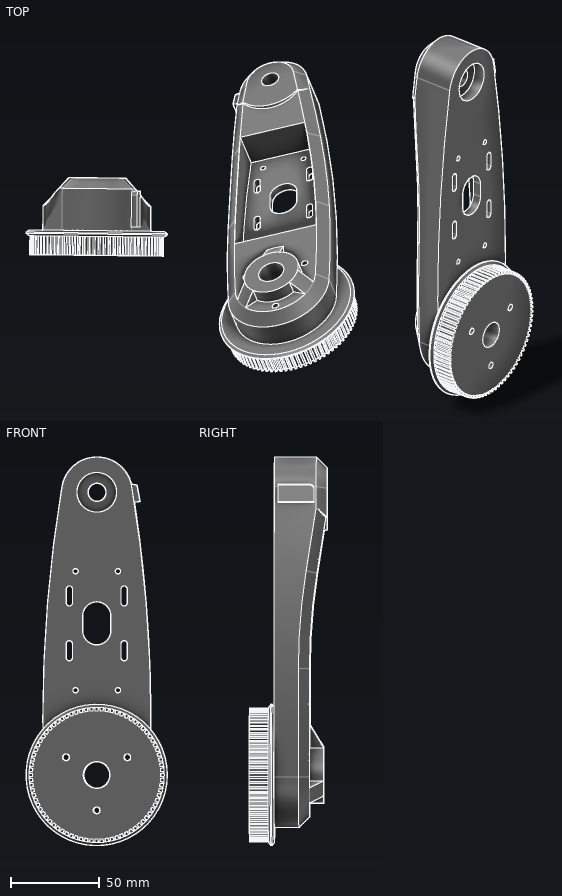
import cadquery as cq
import math


axis_spacing = 160.0
top_radius = 20.0
base_radius = 30.0
side_radius = 800.0

base_thickness = 20.0
hub_thickness = 30.0
edge_chamfer = 6.2
flat_end_z = 60.0
curve_end_z = 114.5
slope_end_z = 150.0
hub_back_radius = 21.3
hub_draft = 14

pocket_bottom_z = 40.0
pocket_top_z = 122.0
pocket_wall = 6.4
plate_thickness = 5.0
motor_z = 85.8
window_width = 15.8
window_height = 24.2
slot_width = 3.5
slot_length = 11.2
slot_spacing = 31.0
pilot_diameter = 2.9
pilot_spacing_x = 24.0
pilot_spacing_z = 67.3
pilot_center_z = 81.6

bearing_diameter = 22.5
bearing_depth = 7.0
axle_diameter = 10.1

boss_radius = 16.0
boss_height = 8.0
rib_width = 10.0
upper_rib_reach = 28.8
lower_rib_reach = base_radius - edge_chamfer

pulley_thickness = 14.0
tooth_count = 80
tip_radius = 37.8
groove_depth = 1.5
groove_width = 2.0
groove_floor_width = 1.5
flange_radius = 40.0
flange_thickness = 3.3
flange_bevel = 1.3
flange_edge_radius = 38.3

bore_diameter = 15.0
screw_diameter = 3.7
screw_circle_radius = 20.0
screw_angles = [30, 150, 270]

block_front_y = 2.2
block_back_y = 22.7
block_inner_x = 18.7
block_top_z = 164.8
block_bottom_z = 154
block_upper_x = 22.7
block_lower_x = 24.5
block_edge_drop = 0.7
block_round = 2.6

assembly_turn = -0.65


def front_plane(y=0.0):
    """Sketch plane facing -Y at the given depth; a negative extrusion goes towards +Y."""
    return cq.Workplane("XZ", origin=(0, y, 0))


def arm_outline(thickness, inset=0.0):
    """Arm outline, shrunk evenly by `inset`, extruded back from the front face."""
    to_top = side_radius - top_radius
    to_base = side_radius - base_radius
    bulge_z = (axis_spacing**2 + to_base**2 - to_top**2) / (2 * axis_spacing)
    center_x = math.sqrt(to_base**2 - bulge_z**2)
    r_top = top_radius - inset
    r_base = base_radius - inset
    top_x = r_top * center_x / to_top
    top_z = axis_spacing + r_top * (axis_spacing - bulge_z) / to_top
    base_x = r_base * center_x / to_base
    base_z = -r_base * bulge_z / to_base
    bulge_x = side_radius - inset - center_x
    return (
        front_plane()
        .moveTo(base_x, base_z)
        .threePointArc((bulge_x, bulge_z), (top_x, top_z))
        .threePointArc((0, axis_spacing + r_top), (-top_x, top_z))
        .threePointArc((-bulge_x, bulge_z), (-base_x, base_z))
        .threePointArc((0, -r_base), (base_x, base_z))
        .close()
        .extrude(-thickness)
    )


def side_profile():
    """Slab with the arm's back profile: flat, then a curve, then a slope up to the hub."""
    curve_middle_z = (flat_end_z + curve_end_z) / 2
    rise = hub_thickness - base_thickness
    slope_angle = math.atan2(rise, slope_end_z - curve_middle_z)
    tangent_length = curve_middle_z - flat_end_z
    curve_end = (
        base_thickness + tangent_length * math.sin(slope_angle),
        curve_middle_z + tangent_length * math.cos(slope_angle),
    )
    past_top = axis_spacing + 2 * top_radius
    slope_at_top = base_thickness + (past_top - curve_middle_z) * math.tan(slope_angle)
    half_width = 2 * base_radius
    return (
        cq.Workplane("YZ", origin=(-half_width, 0, 0))
        .moveTo(0, -half_width)
        .lineTo(base_thickness, -half_width)
        .lineTo(base_thickness, flat_end_z)
        .tangentArcPoint(curve_end, relative=False)
        .lineTo(slope_at_top, past_top)
        .lineTo(0, past_top)
        .close()
        .extrude(2 * half_width)
    )


def full_thickness_arm():
    """Arm outline at the hub's thickness with its back edge chamfered."""
    return arm_outline(hub_thickness).faces(">Y").chamfer(edge_chamfer)


def arm_hub():
    """Full-thickness hub round the top axis, with a drafted lower edge."""
    front_radius = hub_back_radius + hub_thickness * math.tan(math.radians(hub_draft))
    hub_zone = cq.Workplane(
        cq.Solid.makeCone(
            front_radius, hub_back_radius, hub_thickness, cq.Vector(0, 0, axis_spacing), cq.Vector(0, 1, 0)
        )
    )
    return full_thickness_arm().intersect(hub_zone)


def rear_boss():
    """Boss round the lower axis with three ribs that slope down to the arm's back."""
    back = cq.Vector(0, base_thickness, 0)
    backwards = cq.Vector(0, 1, 0)
    boss = front_plane(base_thickness).circle(boss_radius).extrude(-boss_height)
    for angle, reach in [(90, upper_rib_reach), (210, lower_rib_reach), (330, lower_rib_reach)]:
        cone = cq.Workplane(cq.Solid.makeCone(reach, boss_radius, boss_height, back, backwards))
        rib = (
            front_plane(base_thickness)
            .center(reach / 2, 0)
            .rect(reach, rib_width)
            .extrude(-boss_height)
            .rotate((0, 0, 0), (0, 1, 0), -angle)
        )
        boss = boss.union(rib.intersect(cone))
    return boss


def motor_pocket():
    """Pocket open to the back that leaves a front plate and side walls."""
    depth = hub_thickness - plate_thickness
    height = pocket_top_z - pocket_bottom_z
    zone = (
        front_plane(plate_thickness)
        .center(0, pocket_bottom_z + height / 2)
        .rect(4 * base_radius, height)
        .extrude(-depth)
    )
    return arm_outline(hub_thickness, pocket_wall).intersect(zone)


def motor_openings():
    """Window, adjusting slots and pilot holes through the front plate."""
    window = (
        front_plane().center(0, motor_z).slot2D(window_height, window_width, 90).extrude(-hub_thickness)
    )
    slots = (
        front_plane()
        .center(0, motor_z)
        .rect(slot_spacing, slot_spacing, forConstruction=True)
        .vertices()
        .slot2D(slot_length, slot_width, 90)
        .extrude(-hub_thickness)
    )
    pilots = (
        front_plane()
        .center(0, pilot_center_z)
        .rect(pilot_spacing_x, pilot_spacing_z, forConstruction=True)
        .vertices()
        .circle(pilot_diameter / 2)
        .extrude(-hub_thickness)
    )
    return window.union(slots).union(pilots)


def top_bearing_seat():
    """Bearing seat in the front face with an axle hole through the hub."""
    top_axis = front_plane().center(0, axis_spacing)
    seat = top_axis.circle(bearing_diameter / 2).extrude(-bearing_depth)
    axle = top_axis.circle(axle_diameter / 2).extrude(-hub_thickness)
    return seat.union(axle)


def lower_axis_holes():
    """Bore and screw holes that run through both the pulley and the arm."""
    length = pulley_thickness + base_thickness + boss_height
    start = front_plane(-pulley_thickness)
    points = [
        (screw_circle_radius * math.cos(math.radians(a)), screw_circle_radius * math.sin(math.radians(a)))
        for a in screw_angles
    ]
    bore = start.circle(bore_diameter / 2).extrude(-length)
    screws = start.pushPoints(points).circle(screw_diameter / 2).extrude(-length)
    return bore.union(screws)


def make_arm():
    """Arm with a sloped, chamfered back, a full-thickness hub, a boss and all its openings."""
    sloped_back = arm_outline(2 * hub_thickness).intersect(side_profile())
    back_face = sloped_back.faces(cq.selectors.NearestToPointSelector((0, base_thickness, 0)))
    body = back_face.chamfer(edge_chamfer)
    body = body.intersect(full_thickness_arm())
    body = body.union(arm_hub()).cut(motor_pocket()).union(rear_boss())
    return body.cut(motor_openings()).cut(top_bearing_seat()).cut(lower_axis_holes())


def polar(radius, angle):
    return (radius * math.cos(angle), radius * math.sin(angle))


def make_pulley():
    """Toothed pulley with one bevelled flange against the arm."""
    pitch = 2 * math.pi / tooth_count
    half_groove = groove_width / tip_radius / 2
    root_radius = tip_radius - groove_depth
    half_floor = groove_floor_width / root_radius / 2
    first = math.pi / 2
    outline = front_plane().moveTo(*polar(tip_radius, first - half_groove))
    for tooth in range(tooth_count):
        groove = first + tooth * pitch
        groove_end = groove + half_groove
        next_groove = groove + pitch - half_groove
        outline = outline.lineTo(*polar(root_radius, groove - half_floor))
        outline = outline.lineTo(*polar(root_radius, groove + half_floor))
        outline = outline.lineTo(*polar(tip_radius, groove_end))
        outline = outline.threePointArc(polar(tip_radius, groove + pitch / 2), polar(tip_radius, next_groove))
    toothed = outline.close().extrude(pulley_thickness)
    flange = (
        cq.Workplane("XY")
        .moveTo(0, 0)
        .lineTo(flange_edge_radius, 0)
        .lineTo(flange_radius, -flange_bevel)
        .lineTo(flange_radius, flange_bevel - flange_thickness)
        .lineTo(flange_edge_radius, -flange_thickness)
        .lineTo(0, -flange_thickness)
        .close()
        .revolve(360, (0, 0, 0), (0, 1, 0))
    )
    return toothed.union(flange).cut(lower_axis_holes())


def make_stop_block(arm_body):
    """Block seated against the arm's +X side; its inner face follows the arm."""
    block = (
        front_plane(block_front_y)
        .moveTo(block_inner_x, block_bottom_z)
        .lineTo(block_lower_x, block_bottom_z + block_edge_drop)
        .lineTo(block_upper_x, block_top_z - block_edge_drop)
        .lineTo(block_inner_x, block_top_z)
        .close()
        .extrude(block_front_y - block_back_y)
        .faces(">Y")
        .edges(">Z")
        .fillet(block_round)
    )
    return block.cut(arm_body)


def turned(body):
    return body.rotate((0, 0, 0), (0, 0, 1), assembly_turn)


arm = make_arm()
pulley = make_pulley()
stop_block = make_stop_block(arm)

result = cq.Compound.makeCompound([turned(arm).val(), turned(pulley).val(), turned(stop_block).val()])